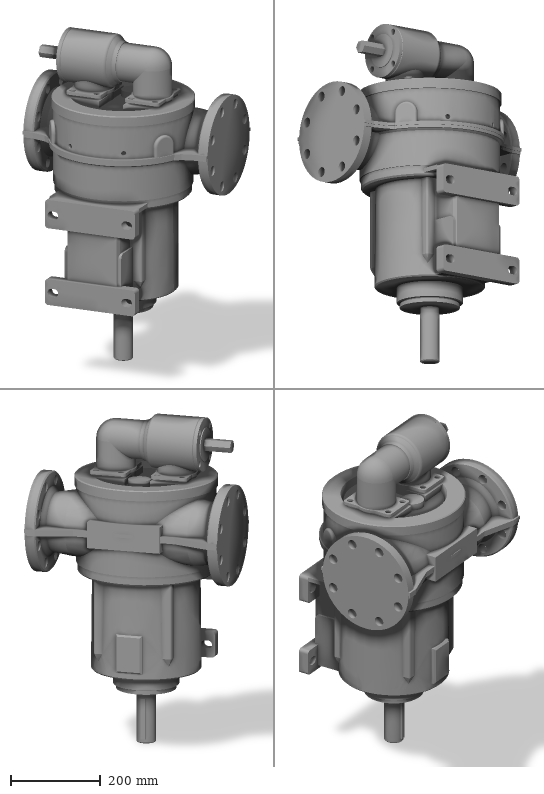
import cadquery as cq
import math

SHAFT_R = 22.0
SHAFT_CHAMFER = 2.0
SHAFT_NECK_R = 21.0
SHAFT_NECK_Z = 110.0
KEY_WIDTH = 12.0
KEY_OUTER_Y = 25.0
KEY_Z = (10.0, 102.0)

HUB_R = 74.0
HUB_Z = 134.5
SEAL_RING_R = 67.0
SEAL_RING_Z = 123.0
SEAL_GROOVE = 3.0

BARREL_R = 123.0
BARREL_TOP_R = 121.0
BARREL_Z = 169.0
BARREL_CHAMFER = 3.0
RIB_HALF_X = 91.0
RIB_HALF_Y = 101.0
RIB_CORNER_R = 4.5
RIB_STRAIGHT_Z = 218.0
RIB_RUNOUT = 26.0
RIB_RUNOUT_ANGLE = 25
BACK_PAD_WIDTH = 60.0
BACK_PAD_Y = 128.5
BACK_PAD_Z = (185.0, 272.0)
BACK_PAD_CHAMFER = 4.0

CASING_R = 156.0
CASING_FOOT_R = 153.0
CASING_Z = 392.5
CASING_FOOT_CHAMFER = 4.0
CASING_STEP_Z = 415.0
COVER_R = 160.0
COVER_Z = 590.0
TOP_Z = 613.5
COVER_EDGE_R = 2.0

POCKET_R = 119.0
POCKET_DEPTH = 15.0
POCKET_FLOOR_R = 112.0
PORT_X = 71.5
PAD_INNER_X = 29.0
PAD_HALF_Y = 65.5
SEAT_R = 43.5
SEAT_X = 80.0
SEAT_Y = 109.0
PAD_RISE = 5.0
COVER_BOSS_R = 25.5
COVER_BOSS_Y = 49.5

FLANGE_R = 113.5
FLANGE_X = 225.15
FLANGE_THICK = 25.0
FLANGE_Y = 71.0
FLANGE_Z = 506.0
FLANGE_EDGE_R = 3.0
FLANGE_BOLT_R = 93.0
FLANGE_BOLT_D = 22.5
FLANGE_BOLTS = 8
NECK_R = 68.0
NECK_BASE_HALF_Y = 85.0
NECK_BASE_HALF_Z = 74.5
NECK_BASE_X = 143.0
NECK_BASE_Y = 63.0
NECK_ROOT_X = 37.5
NECK_FOOT = 11.0

BELT_R = 167.0
BELT_Z = (499.0, 513.5)
BELT_SPLIT_Z = 506.0
BELT_INSET = 1.5
BELT_FOOT = 4.5
BELT_FLANGE_R = 118.0
BELT_SHOULDER = (119.0, 163.0)
BELT_TAIL = ((168.0, -56.0), (155.0, -65.0))

CASING_PAD_HALF_X = 85.0
CASING_PAD_Y = 165.5
CASING_PAD_HALF_Z = 30.0

ARCH_ANGLE = 31
ARCH_FACE_R = 164.0
ARCH_HALF_WIDTH = 25.5
ARCH_TOP_Z = 561.0
ARCH_EDGE_R = 5.0
PLUG_X = 65.5
PLUG_Z = 526.0
PLUG_D = 11.0
PLUG_DEPTH = 11.0

FOOT_HALF_X = 110.0
FOOT_Y = -180.5
FOOT_THICK = 24.0
FOOT_CORNER_R = 7.5
UPPER_FOOT_Z = (341.0, 407.5)
LOWER_FOOT_Z = (162.5, 222.5)
SHELF_THICK = 10.0
SHELF_Y = -112.0
COLUMN_HALF_X = 64.0
COLUMN_FACE_HALF_X = 60.0
COLUMN_Y = -168.5
COLUMN_BEVEL_Y = -158.0
BOX_HALF_X = 69.0
BOX_Y = -164.0
BOX_Z = (171.5, 297.0)
BOX_EDGE_R = 11.0
SLOT_X = 90.0
SLOT_LENGTH = 25.5
SLOT_WIDTH = 19.0
UPPER_SLOT_Z = 372.0
LOWER_SLOT_Z = 192.0

VALVE_R = 60.5
VALVE_AXIS_Z = 752 - VALVE_R
VALVE_END_X = -137.0
VALVE_ROUND_X = -24.0
VALVE_CONE_X = (-17.0, -7.5, 1.5)
VALVE_CONE_R = (56.5, 48.0, 45.0)
PIPE_R = 43.5
CAP_GROOVE_X = -128.0
CAP_GROOVE = 1.1
CAP_DISC_R = 37.5
CAP_DISC_THICK = 2.0
CAP_SCREW_OFFSET = 36.45
CAP_SCREW_D = 14.0
CAP_SCREW_DEPTH = 11.0
STEM_X = -201.0
STEM_FLATS = 25.5
VALVE_PLATE_X = 84.0
VALVE_PLATE_Y = 125.5
VALVE_PLATE_THICK = 7.0
VALVE_PLATE_ROUND_R = 47.0
PLATE_CORNER_R = 7.5
VALVE_BOLT_X = 29.0
VALVE_BOLT_Y = 50.0
VALVE_BOLT_D = 14.0

PAD_TOP_Z = TOP_Z + PAD_RISE
SIDES = (-1, 1)


def cylinder(radius, z_low, z_high, x=0, y=0):
    return cq.Workplane("XY", origin=(x, y, z_low)).circle(radius).extrude(z_high - z_low)


def block(x_range, y_range, z_range):
    """Axis-aligned block given by its end coordinates on each axis."""
    ends = (x_range, y_range, z_range)
    sizes = [high - low for low, high in ends]
    return cq.Workplane("XY", origin=[r[0] for r in ends]).box(*sizes, centered=False)


def make_rotating_core():
    """Casing, barrel, hub and shaft as one turned profile."""
    neck_r = SEAL_RING_R - SEAL_GROOVE
    profile = [
        (0, 0),
        (SHAFT_R - SHAFT_CHAMFER, 0),
        (SHAFT_R, SHAFT_CHAMFER),
        (SHAFT_R, SHAFT_NECK_Z),
        (SHAFT_NECK_R, SHAFT_NECK_Z),
        (SHAFT_NECK_R, SEAL_RING_Z),
        (SEAL_RING_R, SEAL_RING_Z),
        (SEAL_RING_R, HUB_Z - SEAL_GROOVE),
        (neck_r, HUB_Z - SEAL_GROOVE),
        (neck_r, HUB_Z),
        (HUB_R, HUB_Z),
        (HUB_R, BARREL_Z),
        (BARREL_R - BARREL_CHAMFER, BARREL_Z),
        (BARREL_R, BARREL_Z + BARREL_CHAMFER),
        (BARREL_TOP_R, CASING_Z),
        (CASING_FOOT_R - CASING_FOOT_CHAMFER, CASING_Z),
        (CASING_FOOT_R, CASING_Z + CASING_FOOT_CHAMFER),
        (CASING_FOOT_R, CASING_STEP_Z),
        (CASING_R, CASING_STEP_Z),
        (CASING_R, BELT_Z[0] - BELT_FOOT),
        (CASING_R + BELT_FOOT, BELT_Z[0]),
        (CASING_R, BELT_Z[0]),
        (CASING_R, COVER_Z),
        (COVER_R, COVER_Z),
        (COVER_R, TOP_Z - COVER_EDGE_R),
        (COVER_R - COVER_EDGE_R, TOP_Z),
        (0, TOP_Z),
    ]
    return cq.Workplane("XZ").polyline(profile).close().revolve(360, (0, 0), (0, 1))


def make_key():
    return block((-KEY_WIDTH / 2, KEY_WIDTH / 2), (0, KEY_OUTER_Y), KEY_Z)


def make_corner_ribs():
    """Rectangular block whose corners stand out of the barrel and run out into it below."""
    straight = block((-RIB_HALF_X, RIB_HALF_X), (-RIB_HALF_Y, RIB_HALF_Y), (RIB_STRAIGHT_Z, CASING_Z))
    straight = straight.edges("|Z").fillet(RIB_CORNER_R)
    runout = straight.faces("<Z").wires().toPending().workplane(origin=(0, 0, RIB_STRAIGHT_Z))
    return straight.union(runout.extrude(RIB_RUNOUT, taper=RIB_RUNOUT_ANGLE, combine=False))


def make_back_pad():
    pad = block((-BACK_PAD_WIDTH / 2, BACK_PAD_WIDTH / 2), (0, BACK_PAD_Y), BACK_PAD_Z)
    return pad.faces(">Y").chamfer(BACK_PAD_CHAMFER)


def make_pipe_flange(side):
    """Bolted flange with a short turned foot where the neck begins."""
    inner_x = FLANGE_X - FLANGE_THICK
    profile = [
        (inner_x - NECK_FOOT, 0),
        (inner_x - NECK_FOOT, NECK_R),
        (inner_x, NECK_R + NECK_FOOT),
        (inner_x, FLANGE_R - FLANGE_EDGE_R),
        (inner_x + FLANGE_EDGE_R, FLANGE_R),
        (FLANGE_X, FLANGE_R),
        (FLANGE_X, 0),
    ]
    plane = cq.Workplane("XY", origin=(0, FLANGE_Y, FLANGE_Z))
    points = [(side * x, radius) for x, radius in profile]
    return plane.polyline(points).close().revolve(360, (0, 0), (1, 0))


def make_neck(side):
    """Pipe neck that spreads from the round flange foot to an oval base on the casing."""
    base_origin = (side * NECK_BASE_X, NECK_BASE_Y, FLANGE_Z)
    base = cq.Workplane("YZ", origin=base_origin).ellipse(NECK_BASE_HALF_Y, NECK_BASE_HALF_Z)
    root = base.extrude(side * (NECK_ROOT_X - NECK_BASE_X))
    length = FLANGE_X - FLANGE_THICK - NECK_FOOT - NECK_BASE_X
    spread = (
        cq.Workplane("YZ", origin=base_origin)
        .ellipse(NECK_BASE_HALF_Y, NECK_BASE_HALF_Z)
        .workplane(offset=side * length)
        .center(FLANGE_Y - NECK_BASE_Y, 0)
        .circle(NECK_R)
        .loft(combine=False)
    )
    return root.union(spread)


def make_flange_bolt_holes(side):
    plane = cq.Workplane("YZ", origin=(side * FLANGE_X, FLANGE_Y, FLANGE_Z))
    first_angle = 180 / FLANGE_BOLTS
    spots = plane.polarArray(FLANGE_BOLT_R, first_angle, 360, FLANGE_BOLTS)
    return spots.circle(FLANGE_BOLT_D / 2).extrude(-side * FLANGE_THICK)


def make_belt():
    """Parting belt: a ring with webs out to the flanges, its lower half slightly inset."""
    back_y = FLANGE_Y + BELT_FLANGE_R
    front_y = FLANGE_Y - BELT_FLANGE_R
    inner_x = FLANGE_X - FLANGE_THICK
    half_outline = [
        BELT_SHOULDER,
        (inner_x, back_y),
        (FLANGE_X, back_y),
        (FLANGE_X, front_y),
        (inner_x, front_y),
        *BELT_TAIL,
    ]
    mirrored = [(-x, y) for x, y in reversed(half_outline)]
    split_plane = cq.Workplane("XY", origin=(0, 0, BELT_SPLIT_Z))
    outline = split_plane.polyline(half_outline + mirrored).close().val()
    upper_height = BELT_Z[1] - BELT_SPLIT_Z
    lower_height = BELT_SPLIT_Z - BELT_Z[0]
    upper_web = cq.Workplane(outline).toPending().extrude(upper_height)
    belt = upper_web.union(cylinder(BELT_R, BELT_SPLIT_Z, BELT_Z[1]))
    lower_web = cq.Workplane(outline).toPending().offset2D(-BELT_INSET).extrude(-lower_height)
    return belt.union(lower_web).union(cylinder(BELT_R - BELT_INSET, BELT_Z[0], BELT_SPLIT_Z))


def make_casing_pad():
    z_range = (FLANGE_Z - CASING_PAD_HALF_Z, FLANGE_Z + CASING_PAD_HALF_Z)
    return block((-CASING_PAD_HALF_X, CASING_PAD_HALF_X), (0, CASING_PAD_Y), z_range)


def make_arch_boss(angle):
    """Round-topped flat boss standing on the belt and facing outwards at the given angle."""
    arch_center = ARCH_TOP_Z - ARCH_HALF_WIDTH
    boss = (
        cq.Workplane("YZ")
        .moveTo(-ARCH_HALF_WIDTH, BELT_Z[0])
        .lineTo(-ARCH_HALF_WIDTH, arch_center)
        .threePointArc((0, ARCH_TOP_Z), (ARCH_HALF_WIDTH, arch_center))
        .lineTo(ARCH_HALF_WIDTH, BELT_Z[0])
        .close()
        .extrude(ARCH_FACE_R)
    )
    boss = boss.faces(">X").edges("not <Z").fillet(ARCH_EDGE_R)
    return boss.rotate((0, 0, 0), (0, 0, 1), angle)


def make_plug_hole(side):
    angle = -90 + side * math.degrees(math.asin(PLUG_X / CASING_R))
    start = (CASING_R - PLUG_DEPTH, 0, PLUG_Z)
    hole = cq.Workplane("YZ", origin=start).circle(PLUG_D / 2).extrude(2 * PLUG_DEPTH)
    return hole.rotate((0, 0, 0), (0, 0, 1), angle)


def make_pocket():
    """Round pocket in the cover with a sloping wall."""
    taper = math.degrees(math.atan((POCKET_R - POCKET_FLOOR_R) / POCKET_DEPTH))
    return cq.Workplane("XY", origin=(0, 0, TOP_Z)).circle(POCKET_R).extrude(-POCKET_DEPTH, taper=taper)


def waisted_plate(x, length_x, length_y, round_r, z_range):
    """Rectangular plate with rounded corners whose long sides bulge out round a port."""
    x_range = (x - length_x / 2, x + length_x / 2)
    plate = block(x_range, (-length_y / 2, length_y / 2), z_range)
    plate = plate.edges("|Z").fillet(PLATE_CORNER_R)
    return plate.union(cylinder(round_r, *z_range, x=x))


def make_valve_pad(side):
    """Pad reaching in from the pocket wall, with a raised seat for one valve port."""
    x_range = sorted((side * PAD_INNER_X, side * POCKET_R))
    pad = block(x_range, (-PAD_HALF_Y, PAD_HALF_Y), (TOP_Z - POCKET_DEPTH, TOP_Z))
    seat_z = (TOP_Z - POCKET_DEPTH, PAD_TOP_Z)
    return pad.union(waisted_plate(side * PORT_X, SEAT_X, SEAT_Y, SEAT_R, seat_z))


def make_foot(z_range, slot_z):
    """Slotted mounting bar across the front of the bracket."""
    bar = block((-FOOT_HALF_X, FOOT_HALF_X), (FOOT_Y, FOOT_Y + FOOT_THICK), z_range)
    bar = bar.edges("|Y").fillet(FOOT_CORNER_R)
    slots = (
        cq.Workplane("XZ", origin=(0, FOOT_Y, slot_z))
        .pushPoints([(side * SLOT_X, 0) for side in SIDES])
        .slot2D(SLOT_LENGTH, SLOT_WIDTH)
        .extrude(-FOOT_THICK)
    )
    return bar.cut(slots)


def make_bracket():
    """Column, lower box and shelf that tie the two feet to the barrel."""
    shelf_top = UPPER_FOOT_Z[1]
    column_base = BOX_Z[0] + BOX_EDGE_R
    half_outline = [
        (COLUMN_HALF_X, 0),
        (COLUMN_HALF_X, COLUMN_BEVEL_Y),
        (COLUMN_FACE_HALF_X, COLUMN_Y),
    ]
    outline = half_outline + [(-x, y) for x, y in reversed(half_outline)]
    column = cq.Workplane("XY", origin=(0, 0, column_base)).polyline(outline).close()
    column = column.extrude(shelf_top - column_base)
    box = block((-BOX_HALF_X, BOX_HALF_X), (BOX_Y, 0), BOX_Z).edges("|X").fillet(BOX_EDGE_R)
    foot_inner_y = FOOT_Y + FOOT_THICK
    shelf = block(
        (-FOOT_HALF_X, FOOT_HALF_X),
        (foot_inner_y, SHELF_Y),
        (shelf_top - SHELF_THICK, shelf_top),
    )
    bracket = column.union(box).union(shelf)
    bracket = bracket.union(make_foot(UPPER_FOOT_Z, UPPER_SLOT_Z))
    return bracket.union(make_foot(LOWER_FOOT_Z, LOWER_SLOT_Z))


def make_pump():
    pump = make_rotating_core()
    pump = pump.union(make_key()).union(make_corner_ribs()).union(make_back_pad())
    pump = pump.union(make_belt()).union(make_casing_pad()).union(make_bracket())
    for side in SIDES:
        pump = pump.union(make_pipe_flange(side)).union(make_neck(side))
        pump = pump.union(make_arch_boss(-90 + side * (90 - ARCH_ANGLE)))
    for side in SIDES:
        pump = pump.cut(make_flange_bolt_holes(side))
        pump = pump.cut(make_plug_hole(side))
    pocket_z = TOP_Z - POCKET_DEPTH
    pump = pump.cut(make_pocket())
    pump = pump.union(cylinder(COVER_BOSS_R, pocket_z, TOP_Z, y=COVER_BOSS_Y))
    for side in SIDES:
        pump = pump.union(make_valve_pad(side))
    return pump


def make_valve_barrel():
    """Spring housing and outlet pipe, turned about the horizontal valve axis."""
    groove_r = VALVE_R - CAP_GROOVE
    return (
        cq.Workplane("XY", origin=(0, 0, VALVE_AXIS_Z))
        .moveTo(VALVE_END_X - CAP_DISC_THICK, 0)
        .lineTo(VALVE_END_X - CAP_DISC_THICK, CAP_DISC_R)
        .lineTo(VALVE_END_X, CAP_DISC_R)
        .lineTo(VALVE_END_X, VALVE_R)
        .lineTo(CAP_GROOVE_X - CAP_GROOVE, VALVE_R)
        .lineTo(CAP_GROOVE_X, groove_r)
        .lineTo(CAP_GROOVE_X + CAP_GROOVE, VALVE_R)
        .lineTo(VALVE_ROUND_X, VALVE_R)
        .tangentArcPoint((VALVE_CONE_X[0], VALVE_CONE_R[0]), relative=False)
        .lineTo(VALVE_CONE_X[1], VALVE_CONE_R[1])
        .lineTo(VALVE_CONE_X[2], VALVE_CONE_R[2])
        .lineTo(VALVE_CONE_X[2], PIPE_R)
        .lineTo(PORT_X, PIPE_R)
        .lineTo(PORT_X, 0)
        .close()
        .revolve(360, (0, 0), (1, 0))
    )


def make_cap_screw_holes():
    plane = cq.Workplane("YZ", origin=(VALVE_END_X, 0, VALVE_AXIS_Z))
    spots = plane.rect(2 * CAP_SCREW_OFFSET, 2 * CAP_SCREW_OFFSET, forConstruction=True).vertices()
    return spots.circle(CAP_SCREW_D / 2).extrude(CAP_SCREW_DEPTH)


def make_stem():
    across_corners = STEM_FLATS / math.cos(math.pi / 6)
    plane = cq.Workplane("YZ", origin=(STEM_X, 0, VALVE_AXIS_Z))
    return plane.polygon(6, across_corners).extrude(VALVE_END_X - STEM_X)


def make_valve_plate(side):
    """Bolted plate at the foot of one valve port."""
    z_range = (PAD_TOP_Z, PAD_TOP_Z + VALVE_PLATE_THICK)
    plate = waisted_plate(side * PORT_X, VALVE_PLATE_X, VALVE_PLATE_Y, VALVE_PLATE_ROUND_R, z_range)
    bolts = plate.faces(">Z").workplane(origin=(side * PORT_X, 0, 0))
    bolts = bolts.rect(2 * VALVE_BOLT_X, 2 * VALVE_BOLT_Y, forConstruction=True).vertices()
    return bolts.hole(VALVE_BOLT_D)


def make_relief_valve():
    valve = make_valve_barrel()
    elbow = cq.Workplane("XY", origin=(PORT_X, 0, VALVE_AXIS_Z)).sphere(PIPE_R)
    valve = valve.union(elbow).union(make_stem())
    for side in SIDES:
        port = cylinder(PIPE_R, PAD_TOP_Z, VALVE_AXIS_Z, x=side * PORT_X)
        valve = valve.union(port).union(make_valve_plate(side))
    return valve.cut(make_cap_screw_holes())


pump = make_pump()
relief_valve = make_relief_valve()

result = cq.Compound.makeCompound([pump.val(), relief_valve.val()])